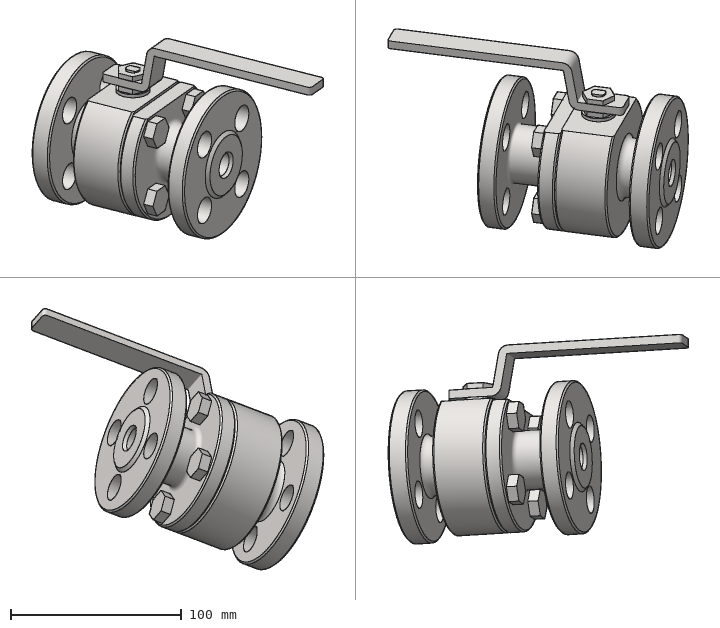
import cadquery as cq
import math


flange_start = 2.0
flange_end = 14.0
body_start = 28.3
body_end = 60.2
cap_end = 70.5
right_flange_start = 94.8
right_flange_end = 106.0
valve_end = 108.1
stem_x = 44.5

flange_dia = 90.0
gasket_base_dia = 41.0
gasket_face_dia = 36.8
flange_hole_dia = 16.0
flange_hole_circle_dia = 60.0
edge_chamfer = 1.0

neck_dia = 35.0
flange_root_length = 3.4
flange_root_dia = 38.0
body_root_length = 3.8
body_root_dia = 40.0
cap_root_radius = 3.0
right_root_radius = 1.5

bore_dia = 14.0
bore_mouth_dia = 16.0
bore_mouth_depth = 2.2

body_dia = 83.5
body_flat_z = 32.9
cap_flat_z = 31.4
bolt_spacing = 43.6
bolt_flats = 16.0
bolt_head_height = 6.3

washer_dia = 20.0
washer_top = 35.0
nut_flats = 16.9
upper_nut_height = 3.2
stem_dia = 8.5
stem_flats = 6.1
stem_top = 47.2

lever_start = 27.8
lever_end = 170.5
lever_width = 16.0
lever_thickness = 5.1
lever_bottom = 38.0
lever_top = 68.0
lever_bend_x = 55.0
lever_lean = math.radians(10)
lever_inner_radius = 0.5
lever_outer_radius = 6.1
lever_corner_radius = 2.2


def axial_disc(start, end, diameter):
    """Cylinder along the flow axis."""
    return cq.Workplane("YZ", origin=(start, 0, 0)).circle(diameter / 2).extrude(end - start)


def chamfered_disc(start, end):
    """Flange blank with both rims chamfered."""
    return axial_disc(start, end, flange_dia).edges().chamfer(edge_chamfer)


def flatted_disc(start, end, flat_z):
    """Chamfered round block with its crown milled flat."""
    disc = axial_disc(start, end, body_dia).edges().chamfer(edge_chamfer)
    crown = cq.Workplane("XY", origin=(start, 0, flat_z)).rect(2 * (end - start), body_dia).extrude(body_dia)
    return disc.cut(crown)


def neck(start, end, start_root, end_root):
    """Neck whose ends flare out along arcs tangent to it; a root is (length, diameter)."""
    neck_r = neck_dia / 2
    start_length, start_dia = start_root
    end_length, end_dia = end_root
    profile = (
        cq.Workplane("XZ")
        .moveTo(start, 0)
        .lineTo(start, start_dia / 2)
        .radiusArc((start + start_length, neck_r), -tangent_radius(start_length, start_dia / 2 - neck_r))
        .lineTo(end - end_length, neck_r)
        .radiusArc((end, end_dia / 2), -tangent_radius(end_length, end_dia / 2 - neck_r))
        .lineTo(end, 0)
        .close()
    )
    return profile.revolve(360, (0, 0, 0), (1, 0, 0))


def tangent_radius(length, rise):
    """Radius of an arc that leaves a line tangentially and rises over the given length."""
    return (length**2 + rise**2) / (2 * rise)


def axial_cone(start, end, start_dia, end_dia):
    """Truncated cone along the flow axis."""
    profile = (
        cq.Workplane("XZ")
        .moveTo(start, 0)
        .lineTo(start, start_dia / 2)
        .lineTo(end, end_dia / 2)
        .lineTo(end, 0)
        .close()
    )
    return profile.revolve(360, (0, 0, 0), (1, 0, 0))


def across_corners(flats):
    """Corner-to-corner size of a hexagon."""
    return flats / math.cos(math.pi / 6)


def cap_bolts():
    """Hex heads on the cap, corners pointing along Y."""
    return (
        cq.Workplane("YZ", origin=(cap_end, 0, 0))
        .rect(bolt_spacing, bolt_spacing, forConstruction=True)
        .vertices()
        .polygon(6, across_corners(bolt_flats))
        .extrude(bolt_head_height)
    )


def flange_holes():
    """Four bores on the diagonals, long enough to pass through both flanges."""
    return (
        cq.Workplane("YZ")
        .polarArray(flange_hole_circle_dia / 2, 45, 360, 4)
        .circle(flange_hole_dia / 2)
        .extrude(valve_end)
    )


def stem_stack():
    """Washer, two nuts clamping the lever, and the flatted stem tip in the upper nut's round hole."""
    upper_nut_bottom = lever_bottom + lever_thickness
    tip_height = stem_top - upper_nut_bottom

    def at(z):
        return cq.Workplane("XY", origin=(stem_x, 0, z))

    def nut(bottom, height):
        return at(bottom).polygon(6, across_corners(nut_flats)).extrude(height)

    washer = at(body_flat_z).circle(washer_dia / 2).extrude(washer_top - body_flat_z)
    lower_nut = nut(washer_top, lever_bottom - washer_top)
    round_tip = at(upper_nut_bottom).circle(stem_dia / 2).extrude(tip_height)
    flatted_tip = at(upper_nut_bottom).rect(stem_dia, stem_flats).extrude(tip_height).intersect(round_tip)
    upper_nut = nut(upper_nut_bottom, upper_nut_height).cut(round_tip)
    return washer.union(lower_nut).union(upper_nut).union(flatted_tip)


def lever():
    """Flat bar cranked upwards between two level runs."""
    lean_width = lever_thickness / math.cos(lever_lean)
    lower_top = lever_bottom + lever_thickness
    upper_bottom = lever_top - lever_thickness

    def lean_x(z):
        return lever_bend_x + (z - lower_top) * math.tan(lever_lean)

    lower_inner = (lever_bend_x, lower_top)
    lower_outer = (lean_x(lever_bottom) + lean_width, lever_bottom)
    upper_inner = (lean_x(upper_bottom) + lean_width, upper_bottom)
    upper_outer = (lean_x(lever_top), lever_top)
    bar = (
        cq.Workplane("XZ")
        .moveTo(lever_start, lever_bottom)
        .lineTo(*lower_outer)
        .lineTo(*upper_inner)
        .lineTo(lever_end, upper_bottom)
        .lineTo(lever_end, lever_top)
        .lineTo(*upper_outer)
        .lineTo(*lower_inner)
        .lineTo(lever_start, lower_top)
        .close()
        .extrude(lever_width / 2, both=True)
    )
    bends = (
        (lower_inner, lever_inner_radius),
        (lower_outer, lever_outer_radius),
        (upper_inner, lever_inner_radius),
        (upper_outer, lever_outer_radius),
    )
    for (x, z), radius in bends:
        bar = bar.edges(cq.selectors.NearestToPointSelector((x, 0, z))).fillet(radius)
    return bar.edges("|Z").fillet(lever_corner_radius)


flanges = (
    axial_cone(flange_start, 0, gasket_base_dia, gasket_face_dia)
    .union(chamfered_disc(flange_start, flange_end))
    .union(chamfered_disc(right_flange_start, right_flange_end))
    .union(axial_cone(right_flange_end, valve_end, gasket_base_dia, gasket_face_dia))
    .cut(flange_holes())
)

left_neck = neck(
    flange_end,
    body_start,
    (flange_root_length, flange_root_dia),
    (body_root_length, body_root_dia),
)
right_neck = neck(
    cap_end,
    right_flange_start,
    (cap_root_radius, neck_dia + 2 * cap_root_radius),
    (right_root_radius, neck_dia + 2 * right_root_radius),
)

bore = (
    axial_disc(0, valve_end, bore_dia)
    .union(axial_cone(0, bore_mouth_depth, bore_mouth_dia, bore_dia))
    .union(axial_cone(valve_end, valve_end - bore_mouth_depth, bore_mouth_dia, bore_dia))
)

result = (
    flanges
    .union(left_neck)
    .union(flatted_disc(body_start, body_end, body_flat_z))
    .union(flatted_disc(body_end, cap_end, cap_flat_z))
    .union(right_neck)
    .union(cap_bolts())
    .cut(bore)
    .union(stem_stack())
    .union(lever())
)